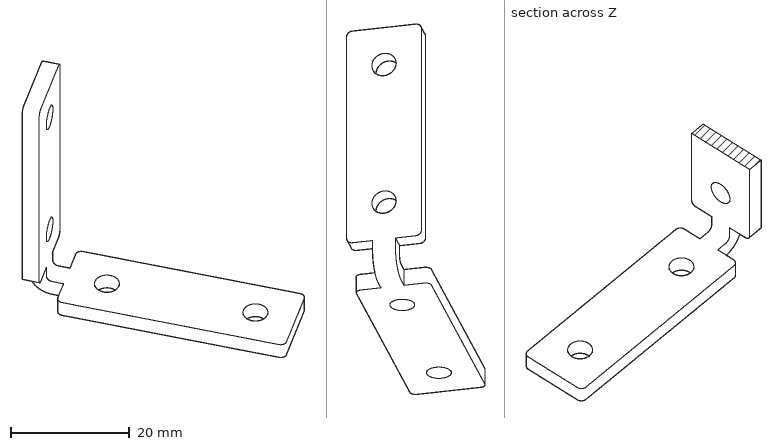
import cadquery as cq

leg_length = 46.0
width = 13.0
thickness = 3.0
plate_length = 40.0
neck_width = 4.0
corner_radius = 1.0
bend_inner_radius = 1.0
hole_diameter = 4.2
hole_spacing = 26.0
hole_end_distance = 7.0

bend_outer_radius = bend_inner_radius + thickness
plate_start = leg_length - plate_length
plate_center = plate_start + plate_length / 2
outer_hole = leg_length - hole_end_distance
inner_hole = outer_hole - hole_spacing


def make_horizontal_plate():
    """Rounded plate lying on Z = 0 along +X, with its two through holes."""
    plate = (
        cq.Workplane("XY")
        .center(plate_center, 0)
        .rect(plate_length, width)
        .extrude(thickness)
        .edges("|Z")
        .fillet(corner_radius)
    )
    holes = (
        cq.Workplane("XY")
        .pushPoints([(inner_hole, 0), (outer_hole, 0)])
        .circle(hole_diameter / 2)
        .extrude(thickness)
    )
    return plate.cut(holes)


def make_neck():
    """Narrow bent strip that joins the two plates."""
    return (
        cq.Workplane("XZ")
        .moveTo(0, plate_start)
        .lineTo(0, bend_outer_radius)
        .radiusArc((bend_outer_radius, 0), -bend_outer_radius)
        .lineTo(plate_start, 0)
        .lineTo(plate_start, thickness)
        .lineTo(bend_outer_radius, thickness)
        .radiusArc((thickness, bend_outer_radius), bend_inner_radius)
        .lineTo(thickness, plate_start)
        .close()
        .extrude(neck_width / 2, both=True)
    )


horizontal_plate = make_horizontal_plate()

upright_plate = horizontal_plate.rotate((0, 0, 0), (1, 0, 1), 180)

result = make_neck().union(horizontal_plate).union(upright_plate)